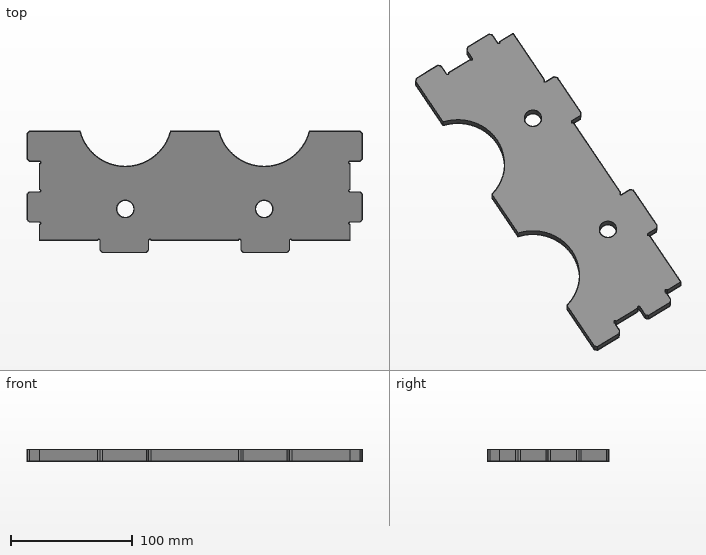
import cadquery as cq

length = 276.0
width = 100.0
thickness = 10.0

lower_tab_depth = thickness
side_tab_depth = 10.2
tab_chamfer = 2.0
body_length = length - 2 * side_tab_depth
body_width = width - lower_tab_depth

side_tab_width = 24.8
side_tab_gap = 25.0
side_tab_pitch = side_tab_width + side_tab_gap

lower_tab_width = 40.0
lower_tab_offset = 58.0

relief_radius = 1.0

cutout_offset = 57.0
cutout_radius = 38.5
cutout_depth = 29.0
hole_diameter = 14.0
hole_distance = 64.0


def plate(size_x, size_y, center_x, center_y):
    """Rectangular plate of full thickness."""
    return (
        cq.Workplane("XY")
        .center(center_x, center_y)
        .rect(size_x, size_y)
        .extrude(thickness)
    )


def cylinder(radius, center_x, center_y):
    """Round cutter of full thickness."""
    return cq.Workplane("XY").center(center_x, center_y).circle(radius).extrude(thickness)


result = plate(body_length, body_width, 0, -body_width / 2)

for side in (-1, 1):
    body_edge = side * body_length / 2
    outer_face = "<X" if side < 0 else ">X"

    for upper_edge in (0, -side_tab_pitch):
        tab = plate(2 * side_tab_depth, side_tab_width, body_edge, upper_edge - side_tab_width / 2)
        tab = tab.faces(outer_face).edges("|Z").chamfer(tab_chamfer)
        result = result.union(tab)

    tab_center = side * lower_tab_offset
    tab = plate(lower_tab_width, 2 * lower_tab_depth, tab_center, -body_width)
    tab = tab.faces("<Y").edges("|Z").chamfer(tab_chamfer)
    result = result.union(tab)

for side in (-1, 1):
    body_edge = side * body_length / 2
    relief_positions = [
        (body_edge, -side_tab_width - relief_radius),
        (body_edge, -side_tab_pitch + relief_radius),
        (body_edge, -side_tab_pitch - side_tab_width - relief_radius),
    ]

    for flank in (-1, 1):
        relief_x = side * lower_tab_offset + flank * (lower_tab_width / 2 + relief_radius)
        relief_positions.append((relief_x, -body_width))

    for relief_x, relief_y in relief_positions:
        result = result.cut(cylinder(relief_radius, relief_x, relief_y))

    center_x = side * cutout_offset
    result = result.cut(cylinder(cutout_radius, center_x, cutout_radius - cutout_depth))
    result = result.cut(cylinder(hole_diameter / 2, center_x, -hole_distance))